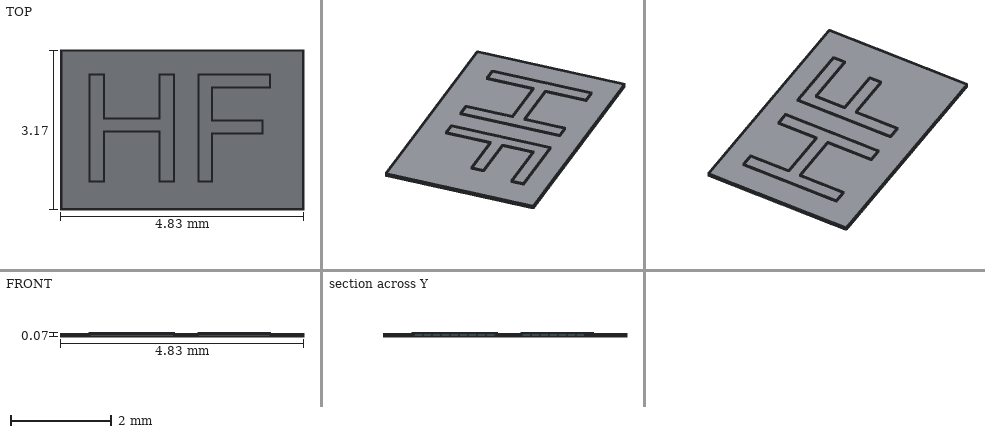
import cadquery as cq

plate_length = 4.83
plate_width = 3.17
plate_thickness = 0.05
total_height = 0.07
letter_height = total_height - plate_thickness

letter_bottom = -1.03
letter_top = 1.105
bar_thickness = 0.26

h_left = -1.845
h_right = -0.165
h_stem_width = 0.285
h_bar_bottom = -0.03

f_left = 0.32
f_top_arm_right = 1.75
f_middle_arm_right = 1.60
f_stem_width = 0.275
f_middle_arm_bottom = -0.075


def raised_bar(left, right, bottom, top):
    """Rectangular bar standing on the plate's top face."""
    return (
        cq.Workplane("XY", origin=(left, bottom, plate_thickness))
        .rect(right - left, top - bottom, centered=False)
        .extrude(letter_height)
    )


def letter_h():
    left_stem = raised_bar(h_left, h_left + h_stem_width, letter_bottom, letter_top)
    right_stem = raised_bar(h_right - h_stem_width, h_right, letter_bottom, letter_top)
    crossbar = raised_bar(h_left, h_right, h_bar_bottom, h_bar_bottom + bar_thickness)
    return left_stem.union(right_stem).union(crossbar)


def letter_f():
    stem = raised_bar(f_left, f_left + f_stem_width, letter_bottom, letter_top)
    top_arm = raised_bar(f_left, f_top_arm_right, letter_top - bar_thickness, letter_top)
    middle_arm_top = f_middle_arm_bottom + bar_thickness
    middle_arm = raised_bar(f_left, f_middle_arm_right, f_middle_arm_bottom, middle_arm_top)
    return stem.union(top_arm).union(middle_arm)


plate = cq.Workplane("XY").box(
    plate_length, plate_width, plate_thickness, centered=(True, True, False)
)

result = plate.union(letter_h()).union(letter_f()).clean()